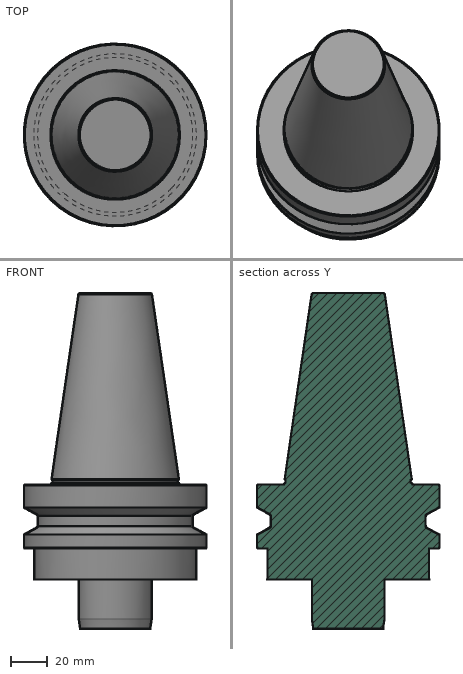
import cadquery as cq

total_height = 183.8
pin_chamfer_top = 5.5
body_bottom = 27.0
flange_bottom = 44.0
lower_rim_top = 51.6
groove_bottom = 55.7
groove_top = 62.3
upper_rim_bottom = 66.4
flange_top = 79.0
gauge_plane = 82.0

pin_diameter = 40.0
pin_tip_diameter = 38.5
body_diameter = 89.0
flange_diameter = 100.0
groove_diameter = 85.0
gauge_diameter = 69.8
neck_diameter = 68.7

taper_ratio = 7 / 24
edge_chamfer = 0.7
rim_chamfer = 0.5
neck_chamfer_height = 0.5
neck_flare = 1.1
groove_root_radius = 1.0

taper_top_diameter = gauge_diameter - taper_ratio * (total_height - gauge_plane)


def turned_section(*stations):
    """Revolve (diameter, height) stations about Z, closed along the axis."""
    points = [(diameter / 2, height) for diameter, height in stations]
    bottom = points[0][1]
    top = points[-1][1]
    profile = cq.Workplane("XZ").polyline([(0, bottom), *points, (0, top)]).close()
    return profile.revolve(360, (0, 0), (0, 1))


pin = turned_section(
    (pin_tip_diameter, 0),
    (pin_diameter, pin_chamfer_top),
    (pin_diameter, body_bottom),
)

body = turned_section((body_diameter, body_bottom), (body_diameter, flange_bottom))

flange = turned_section(
    (flange_diameter - 2 * rim_chamfer, flange_bottom),
    (flange_diameter, flange_bottom + rim_chamfer),
    (flange_diameter, lower_rim_top),
    (groove_diameter, groove_bottom),
    (groove_diameter, groove_top),
    (flange_diameter, upper_rim_bottom),
    (flange_diameter, flange_top - rim_chamfer),
    (flange_diameter - 2 * rim_chamfer, flange_top),
)
groove_root_edges = cq.selectors.BoxSelector(
    (-groove_diameter, -groove_diameter, lower_rim_top + rim_chamfer),
    (groove_diameter, groove_diameter, upper_rim_bottom - rim_chamfer),
)
flange = flange.edges("%CIRCLE").edges(groove_root_edges).fillet(groove_root_radius)

shank = turned_section(
    (neck_diameter + 2 * neck_flare, flange_top),
    (neck_diameter, flange_top + neck_flare),
    (neck_diameter, gauge_plane - neck_chamfer_height),
    (gauge_diameter, gauge_plane),
    (taper_top_diameter, total_height),
).faces(">Z").chamfer(edge_chamfer)

result = pin.union(body).union(flange).union(shank)